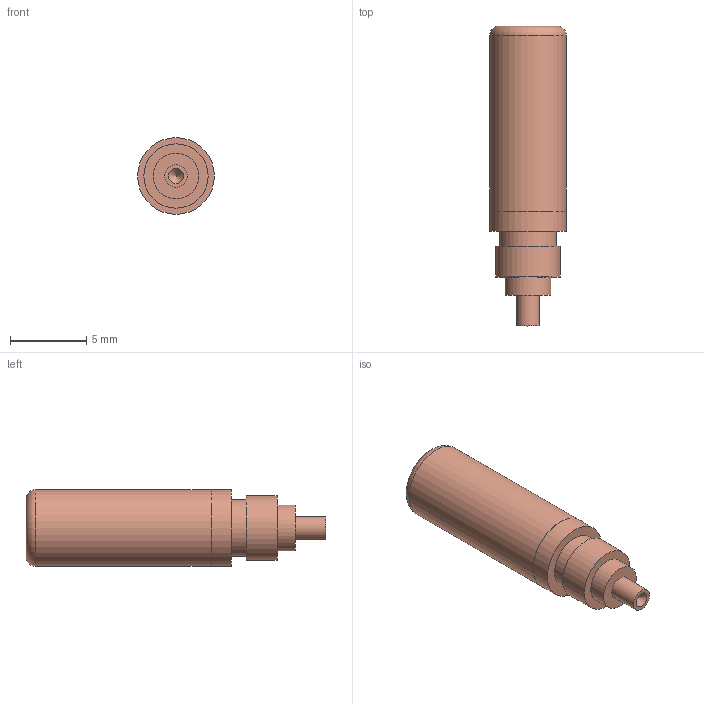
import cadquery as cq


overall_length = 19.61
pin_length = 2.0
nose_length = 1.2
collar_length = 2.0
neck_length = 1.0
band_length = 1.31

pin_diameter = 1.5
nose_diameter = 3.0
collar_diameter = 4.2
neck_diameter = 3.7
band_diameter = 5.01
sleeve_diameter = 5.0

back_edge_radius = 0.6

dimple_diameter = 1.0
dimple_depth = 0.5

front_steps_length = pin_length + nose_length + collar_length + neck_length + band_length
sleeve_length = overall_length - front_steps_length


def turned_step(start_y, diameter, length):
    """Solid cylinder on the Y axis, running from start_y towards +Y."""
    plane = cq.Workplane("XZ", origin=(0, start_y, 0))
    return plane.circle(diameter / 2).extrude(-length)


def make_front_steps():
    """Pin, nose, collar, neck and band stacked one behind the other."""
    steps = [
        (pin_diameter, pin_length),
        (nose_diameter, nose_length),
        (collar_diameter, collar_length),
        (neck_diameter, neck_length),
        (band_diameter, band_length),
    ]
    body = cq.Workplane("XZ")
    start_y = 0
    for diameter, length in steps:
        body = body.union(turned_step(start_y, diameter, length))
        start_y += length
    return body


def make_sleeve():
    """Long rear cylinder with its back edge rounded."""
    sleeve = turned_step(front_steps_length, sleeve_diameter, sleeve_length)
    return sleeve.faces(">Y").edges().fillet(back_edge_radius)


def make_tip_dimple():
    """Cutter for the dimple: a cone with its mouth on the pin tip and its apex inside the pin."""
    half_profile = (
        cq.Workplane("XY")
        .lineTo(dimple_diameter / 2, 0)
        .lineTo(0, dimple_depth)
        .close()
    )
    return half_profile.revolve(360, (0, 0, 0), (0, 1, 0))


result = make_front_steps().union(make_sleeve()).cut(make_tip_dimple())